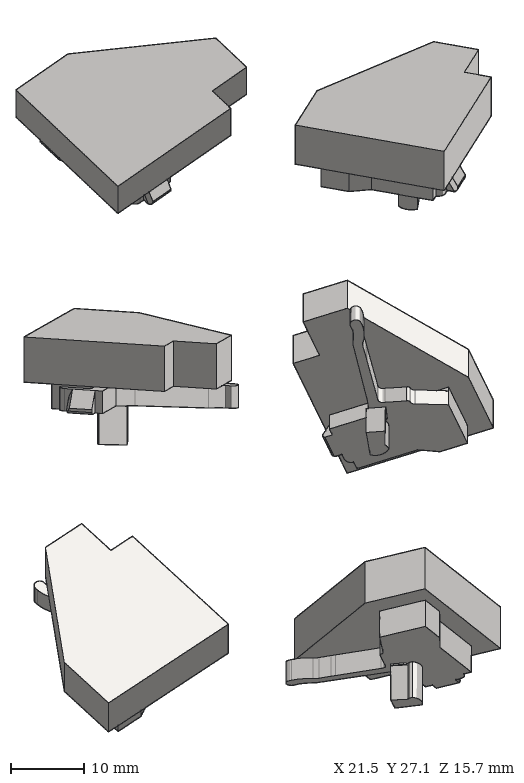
import cadquery as cq

plate_height = 6.32
base_depth = 3.99
lever_gap = 0.85
pin_length = 5.42
lever_depth = base_depth - lever_gap

plate_width = 21.5
plate_length = 26.51
plate_left_length = 9.38
slope_end_x = 11.12
notch_x = 17.62
notch_y = 20.33

base_left = 3.15
base_right = 18.85
base_front = 1.68
base_back = 8.8

boss_back = 9.6
boss_radius = 1.4
boss_x = 8.13

recess_start_x = 7.2
recess_end_x = 9.95
recess_front = 3.12

lever_end_y = 27.1
tip_left = 9.15
tip_radius = 0.79
tip_right = tip_left + 2 * tip_radius
tip_center_y = lever_end_y - tip_radius
lever_right = 19.87
lever_front = 4.35
lever_back = 10.85
lever_corner_radius = 1.03

hub_corner = (7.32, 10.6)
hub_hollow_middle = (7.73, 10.85)
hub_hollow_end = (7.85, 11.22)
hub_shoulder_middle = (8.0, 11.45)
hub_shoulder_end = (8.27, 11.52)
arm_root_start = (11.12, 12.4)
arm_root_middle = (11.77, 12.77)
arm_root_end = (11.82, 13.35)
arm_step_front = (10.8, 19.95)
arm_step_back = (10.68, 20.52)
neck_start = (10.45, 22.35)
neck_middle = (10.33, 22.75)
neck_end = (10.15, 23.07)
tip_side_middle = (9.38, 24.7)
tip_side_end = (tip_left, 25.9)
tip_right_end = (tip_right, 25.48)
arm_bend_middle = (11.03, 24.48)
arm_bend_end = (11.55, 23.31)
arm_right_front = (13.28, 13.28)
arm_right_root = (14.1, lever_back)

hook_root_x = 19.1
hook_end_x = 21.28
hook_front = 5.96
hook_length = 3.8
hook_nose_top = -3.25
hook_nose_bottom = -3.65
hook_foot_x = 20.95
hook_chamfer = 0.22
hook_bevel_width = 0.55
hook_bevel_depth = 0.55

pin_left = 12.0
pin_right = 14.77
pin_front = 8.05
pin_side_y = 8.57
pin_middle_x = (pin_left + pin_right) / 2
pin_shoulder = (12.25, 9.4)
pin_shoulder_curve = (12.06, 9.03)
pin_back_left = (11.35, 11.6)
pin_back_right = (13.88, 12.34)
collar_height = 0.22
collar_overhang = 0.1
collar_front_left = (11.87, 9.81)


def make_plate():
    outline = [
        (0, 0),
        (plate_width, 0),
        (plate_width, notch_y),
        (notch_x, notch_y),
        (notch_x, plate_length),
        (slope_end_x, plate_length),
        (0, plate_left_length),
    ]
    return cq.Workplane("XY").polyline(outline).close().extrude(plate_height)


def make_base():
    outline = [
        (base_left, base_front),
        (recess_start_x, base_front),
        (recess_end_x, recess_front),
        (base_right, recess_front),
        (base_right, base_back),
        (base_left, base_back),
    ]
    base = cq.Workplane("XY").polyline(outline).close().extrude(-base_depth)
    boss = (
        cq.Workplane("XY")
        .center(boss_x, boss_back - boss_radius)
        .circle(boss_radius)
        .extrude(-base_depth)
    )
    return base.union(boss)


def make_lever():
    lever = (
        cq.Workplane("XY", origin=(0, 0, -base_depth))
        .moveTo(base_left, base_back)
        .lineTo(*hub_corner)
        .threePointArc(hub_hollow_middle, hub_hollow_end)
        .threePointArc(hub_shoulder_middle, hub_shoulder_end)
        .lineTo(*arm_root_start)
        .threePointArc(arm_root_middle, arm_root_end)
        .lineTo(*arm_step_front)
        .lineTo(*arm_step_back)
        .lineTo(*neck_start)
        .threePointArc(neck_middle, neck_end)
        .threePointArc(tip_side_middle, tip_side_end)
        .lineTo(tip_left, tip_center_y)
        .threePointArc((tip_left + tip_radius, lever_end_y), (tip_right, tip_center_y))
        .lineTo(*tip_right_end)
        .threePointArc(arm_bend_middle, arm_bend_end)
        .lineTo(*arm_right_front)
        .lineTo(*arm_right_root)
        .lineTo(lever_right, lever_back)
        .lineTo(lever_right, lever_front + lever_corner_radius)
        .radiusArc((lever_right - lever_corner_radius, lever_front), lever_corner_radius)
        .lineTo(base_left, lever_front)
        .close()
        .extrude(lever_depth)
    )
    return lever


def make_hook():
    profile = [
        (hook_root_x, -base_depth),
        (hook_foot_x, -base_depth),
        (hook_end_x, hook_nose_bottom),
        (hook_end_x, hook_nose_top),
        (lever_right, -lever_gap),
        (hook_root_x, -lever_gap),
    ]
    hook = (
        cq.Workplane("XZ", origin=(0, hook_front, 0))
        .polyline(profile)
        .close()
        .extrude(-hook_length)
    )
    hook = hook.faces("<Y").chamfer(hook_chamfer)

    run = hook_end_x - lever_right
    drop = -lever_gap - hook_nose_top
    bevel_plane = cq.Plane(
        origin=(lever_right, hook_front, -lever_gap),
        xDir=(drop, 0, run),
        normal=(run, 0, -drop),
    )
    bevel = (
        cq.Workplane(bevel_plane)
        .polyline([(0, 0), (-hook_bevel_width, 0), (0, -hook_bevel_depth)])
        .close()
        .extrude(2 * lever_depth, both=True)
    )
    return hook.cut(bevel)


def make_pin():
    bottom = -base_depth - pin_length
    pin = (
        cq.Workplane("XY", origin=(0, 0, bottom))
        .moveTo(*pin_shoulder)
        .threePointArc(pin_shoulder_curve, (pin_left, pin_side_y))
        .threePointArc((pin_middle_x, pin_front), (pin_right, pin_side_y))
        .lineTo(*pin_back_right)
        .lineTo(*pin_back_left)
        .close()
        .extrude(pin_length)
    )
    collar_outline = [
        (collar_front_left[0] - collar_overhang, collar_front_left[1]),
        (pin_back_left[0] - collar_overhang, pin_back_left[1]),
        pin_back_left,
        pin_shoulder,
    ]
    collar = (
        cq.Workplane("XY", origin=(0, 0, -base_depth))
        .polyline(collar_outline)
        .close()
        .extrude(-collar_height)
    )
    return pin.union(collar)


result = make_plate().union(make_base()).union(make_lever()).union(make_hook()).union(make_pin())